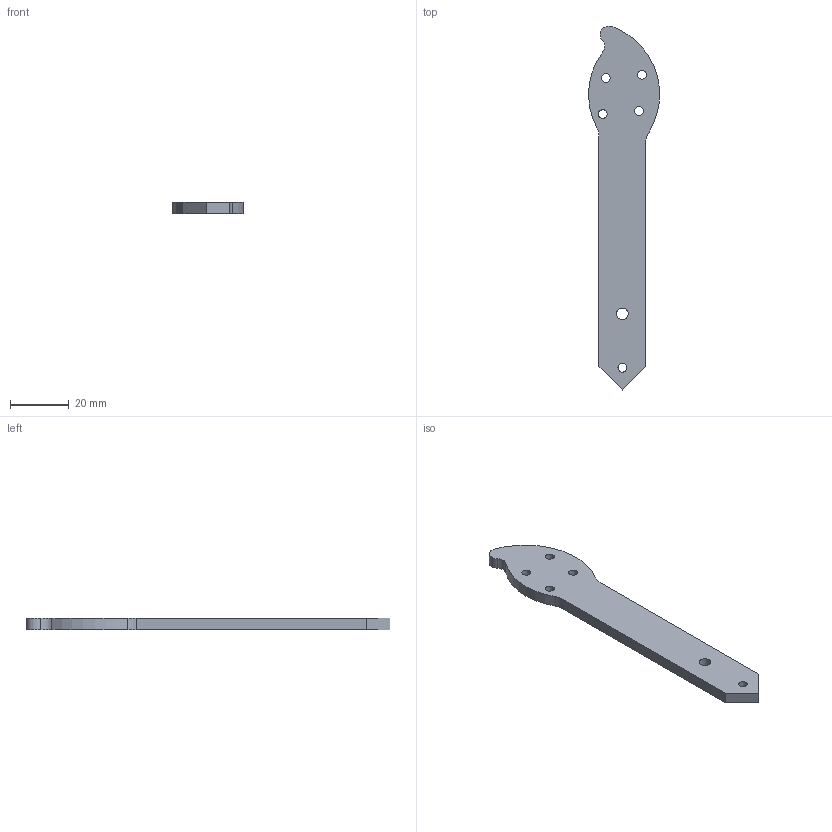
import cadquery as cq
import math

thickness = 4.0
overall_length = 124.4
handle_width = 16.0
half_width = handle_width / 2
point_length = half_width

head_center_y = 101.0
left_edge_x = -11.58
head_width = 24.34
right_edge_x = left_edge_x + head_width
left_radius = 24.0
right_radius = 24.67
tip_radius = 3.0
hook_radius = 3.0
shoulder_radius = 6.0

small_hole_diameter = 3.0
large_hole_diameter = 4.0
point_hole_y = 7.6
handle_hole_y = 26.0
diagonal_angle = 45
long_diagonal = 19.0
short_diagonal = 16.0


def along(start, end, distance):
    """Point at the given distance from start, on the line towards end."""
    ratio = distance / math.dist(start, end)
    return (start[0] + (end[0] - start[0]) * ratio, start[1] + (end[1] - start[1]) * ratio)


def arc_middle(center, radius, start, end):
    """Middle of the shorter arc from start to end."""
    chord_middle = ((start[0] + end[0]) / 2, (start[1] + end[1]) / 2)
    return along(center, chord_middle, radius)


def circle_crossing(center_a, radius_a, center_b, radius_b):
    """Crossing of two circles that lies to the right of the line from a to b."""
    gap = math.dist(center_a, center_b)
    reach = (gap**2 + radius_a**2 - radius_b**2) / (2 * gap)
    offset = math.sqrt(radius_a**2 - reach**2)
    ux = (center_b[0] - center_a[0]) / gap
    uy = (center_b[1] - center_a[1]) / gap
    return (center_a[0] + reach * ux + offset * uy, center_a[1] + reach * uy - offset * ux)


def shoulder_center(side, head_center, head_radius):
    """Centre of the blend tangent to a handle side and to the head arc on that side."""
    x = side * (half_width + shoulder_radius)
    drop = math.sqrt((head_radius + shoulder_radius) ** 2 - (x - head_center[0]) ** 2)
    return (x, head_center[1] - drop)


def make_plate():
    """Outline of handle and head as one chain of tangent arcs, extruded to thickness."""
    left_center = (left_edge_x + left_radius, head_center_y)
    right_center = (right_edge_x - right_radius, head_center_y)

    tip_y = overall_length - tip_radius
    tip_dx = math.sqrt((right_radius - tip_radius) ** 2 - (tip_y - head_center_y) ** 2)
    tip_center = (right_center[0] + tip_dx, tip_y)
    hook_center = circle_crossing(
        tip_center, tip_radius + hook_radius, left_center, left_radius + hook_radius
    )
    right_shoulder = shoulder_center(1, right_center, right_radius)
    left_shoulder = shoulder_center(-1, left_center, left_radius)

    right_handle_top = (half_width, right_shoulder[1])
    right_head_start = along(right_center, right_shoulder, right_radius)
    tip_start = along(right_center, tip_center, right_radius)
    tip_end = along(tip_center, hook_center, tip_radius)
    left_head_start = along(left_center, hook_center, left_radius)
    left_head_end = along(left_center, left_shoulder, left_radius)
    left_handle_top = (-half_width, left_shoulder[1])

    outline = cq.Workplane("XY").lineTo(half_width, point_length).lineTo(*right_handle_top)
    arcs = [
        (right_shoulder, shoulder_radius, right_handle_top, right_head_start),
        (right_center, right_radius, right_head_start, tip_start),
        (tip_center, tip_radius, tip_start, tip_end),
        (hook_center, hook_radius, tip_end, left_head_start),
        (left_center, left_radius, left_head_start, left_head_end),
        (left_shoulder, shoulder_radius, left_head_end, left_handle_top),
    ]
    for center, radius, start, end in arcs:
        outline = outline.threePointArc(arc_middle(center, radius, start, end), end)
    return outline.lineTo(-half_width, point_length).close().extrude(thickness)


def make_holes(points, diameter):
    """Cylinders through the plate at the given points."""
    return cq.Workplane("XY").pushPoints(points).circle(diameter / 2).extrude(thickness)


def pattern_points():
    """Corners of the diamond of holes in the head."""
    points = []
    for angle, diagonal in ((diagonal_angle, long_diagonal), (diagonal_angle + 90, short_diagonal)):
        for reach in (-diagonal / 2, diagonal / 2):
            x = reach * math.cos(math.radians(angle))
            y = head_center_y + reach * math.sin(math.radians(angle))
            points.append((x, y))
    return points


small_holes = make_holes([(0, point_hole_y)] + pattern_points(), small_hole_diameter)
large_hole = make_holes([(0, handle_hole_y)], large_hole_diameter)
result = make_plate().cut(small_holes).cut(large_hole)